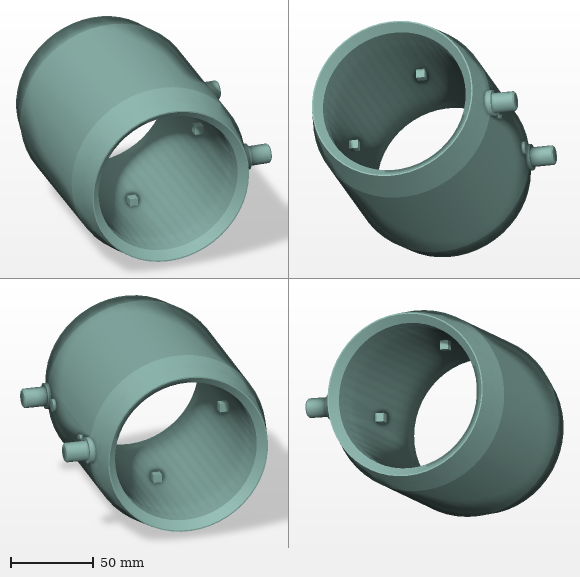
import cadquery as cq

length = 138.5
body_diameter = 112.0
end_diameter = 101.4
bore_diameter = 90.0
taper_length = 22.9
mouth_diameter = 99.7
mouth_depth = 4.8

terminal_tip_y = 71.9
flange_top_y = 57.9
terminal_diameter = 12.0
terminal_chamfer = 1.0
flange_diameter = 16.0
button_diameter = 8.0
terminal_x = 46.1
button_x = 30.3

stop_size = 5.3
stop_height = 5.5
stop_count = 4

half_length = length / 2
body_radius = body_diameter / 2
bore_radius = bore_diameter / 2
wall_middle_radius = (body_radius + bore_radius) / 2


def make_sleeve():
    """Revolve the wall section, with tapered ends and bevelled mouths."""
    shoulder_x = half_length - taper_length
    bevel_x = half_length - mouth_depth
    section = (
        cq.Workplane("XY")
        .moveTo(-half_length, end_diameter / 2)
        .lineTo(-shoulder_x, body_radius)
        .lineTo(shoulder_x, body_radius)
        .lineTo(half_length, end_diameter / 2)
        .lineTo(half_length, mouth_diameter / 2)
        .lineTo(bevel_x, bore_radius)
        .lineTo(-bevel_x, bore_radius)
        .lineTo(-half_length, mouth_diameter / 2)
        .close()
    )
    return section.revolve(360, (0, 0, 0), (1, 0, 0))


def make_post(x, diameter, top_y):
    """Round post along +Y, rooted inside the sleeve wall."""
    root = cq.Workplane("XZ", origin=(x, wall_middle_radius, 0))
    return root.circle(diameter / 2).extrude(wall_middle_radius - top_y)


def make_terminal(x):
    pin = make_post(x, terminal_diameter, terminal_tip_y)
    pin = pin.faces(">Y").chamfer(terminal_chamfer)
    return pin.union(make_post(x, flange_diameter, flange_top_y))


def make_stop(angle):
    """Square block reaching from inside the wall into the bore."""
    tip_radius = bore_radius - stop_height
    radial_length = wall_middle_radius - tip_radius
    block = cq.Workplane("XY").box(stop_size, radial_length, stop_size)
    block = block.translate((0, tip_radius + radial_length / 2, 0))
    return block.rotate((0, 0, 0), (1, 0, 0), angle)


result = make_sleeve()

for side in (-1, 1):
    result = result.union(make_terminal(side * terminal_x))
    result = result.union(make_post(side * button_x, button_diameter, flange_top_y))

for index in range(stop_count):
    result = result.union(make_stop(index * 360 / stop_count))